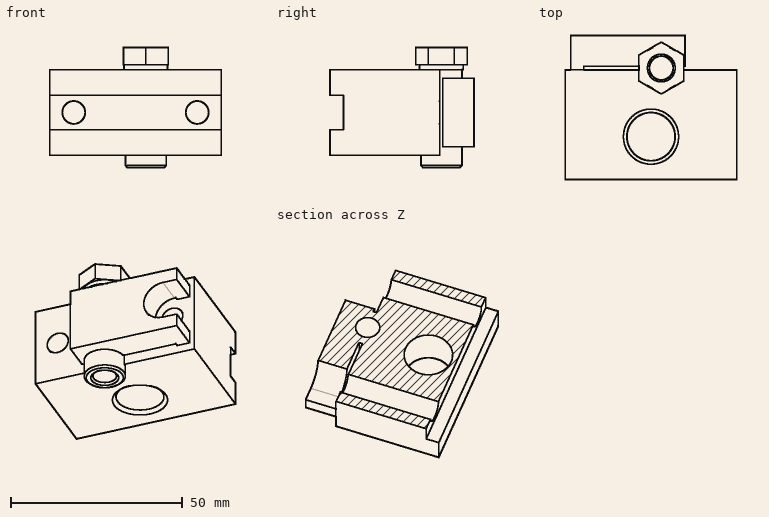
import cadquery as cq

block_length = 50.0
block_depth = 32.0
block_height = 25.0
mid_height = block_height / 2

groove_height = 10.0
groove_depth = 3.9
screw_hole_diameter = 6.6
screw_hole_spacing = 36.0

bore_diameter = 14.0
bore_chamfer = 1.05
bore_y = 12.5

plate_left = -23.45
plate_length = 33.4
plate_height = 20.0
plate_back = 42.0
foot_length = 3.9
foot_gap = 0.95
slot_width = 12.0
slot_center_x = -19.1

bolt_x = 3.0
bolt_y = 32.5
shank_diameter = 12.0
shank_protrusion = 3.55
shank_chamfer = 0.6
collar_diameter = 12.8
collar_height = 1.35
head_across_flats = 13.1
head_height = 5.1
bolt_bore_diameter = 6.9
bolt_bore_chamfer = 0.6


def cylinder(x, y, bottom, diameter, height):
    return cq.Workplane("XY", origin=(x, y, bottom)).circle(diameter / 2).extrude(height)


def chamfered_bore(x, y, bottom, top, diameter, chamfer):
    """Vertical cutting body that widens at both ends."""
    radius = diameter / 2
    body = cylinder(x, y, bottom, diameter, top - bottom)
    for face_z, inward in ((bottom, 1), (top, -1)):
        cone = cq.Solid.makeCone(
            radius + chamfer, radius, chamfer, cq.Vector(x, y, face_z), cq.Vector(0, 0, inward)
        )
        body = body.union(cq.Workplane(cone))
    return body


def make_block():
    block = cq.Workplane("XY").box(block_length, block_depth, block_height, centered=(True, False, False))
    groove = (
        cq.Workplane("XY", origin=(0, 0, mid_height))
        .box(block_length, groove_depth, groove_height, centered=(True, False, True))
    )
    screw_holes = (
        cq.Workplane("XZ", origin=(0, 0, mid_height))
        .rarray(screw_hole_spacing, 0.5, 2, 1)
        .circle(screw_hole_diameter / 2)
        .extrude(-block_depth)
    )
    bore = chamfered_bore(0, bore_y, 0, block_height, bore_diameter, bore_chamfer)
    return block.cut(groove).cut(screw_holes).cut(bore)


def make_plate():
    plate_front = block_depth + foot_gap
    foot_right = plate_left + foot_length
    plate_right = plate_left + plate_length
    plate = (
        cq.Workplane("XY", origin=(0, 0, mid_height - plate_height / 2))
        .moveTo(plate_left, block_depth)
        .lineTo(foot_right, block_depth)
        .lineTo(foot_right, plate_front)
        .lineTo(plate_right, plate_front)
        .lineTo(plate_right, plate_back)
        .lineTo(plate_left, plate_back)
        .close()
        .extrude(plate_height)
    )
    half_width = slot_width / 2
    slot = (
        cq.Workplane("XZ", origin=(0, block_depth, mid_height))
        .moveTo(plate_left, -half_width)
        .lineTo(slot_center_x, -half_width)
        .threePointArc((slot_center_x + half_width, 0), (slot_center_x, half_width))
        .lineTo(plate_left, half_width)
        .close()
        .extrude(block_depth - plate_back)
    )
    return plate.cut(slot)


head_bottom = block_height + collar_height
head_top = head_bottom + head_height


def make_bolt():
    shank = (
        cylinder(bolt_x, bolt_y, -shank_protrusion, shank_diameter, block_height + shank_protrusion)
        .faces("<Z").chamfer(shank_chamfer)
    )
    collar = cylinder(bolt_x, bolt_y, block_height, collar_diameter, collar_height)
    head = (
        cq.Workplane("XY", origin=(bolt_x, bolt_y, head_bottom))
        .polygon(6, head_across_flats, circumscribed=True)
        .extrude(head_height)
    )
    return shank.union(collar).union(head)


bolt_bore = chamfered_bore(
    bolt_x, bolt_y, -shank_protrusion, head_top, bolt_bore_diameter, bolt_bore_chamfer
)
result = make_block().union(make_plate()).union(make_bolt()).cut(bolt_bore)